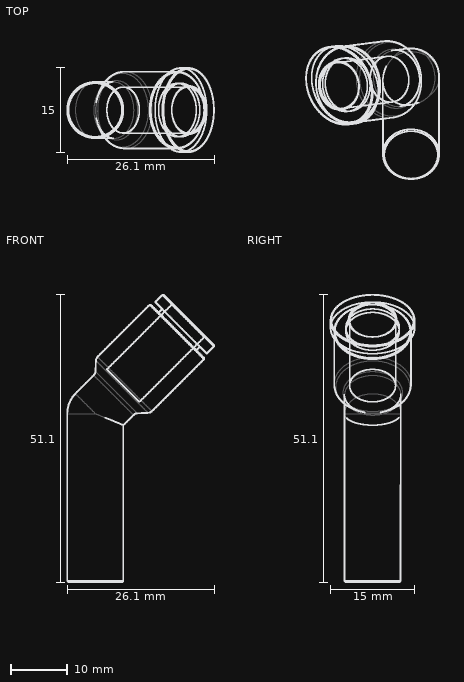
import cadquery as cq

elbow_height = 30.0
head_tilt = 45.0

stem_radius = 5.0
stem_end_chamfer = 0.25

cone_start = 5.0
cone_end = 7.0
body_end = 20.65
body_radius = 6.85
cone_blend_radius = 1.0
body_end_chamfer = 0.15

sleeve_radius = 4.75
flange_start = 21.5
button_end = 23.5
flange_half_width = 6.5
flange_half_length = 7.49
flange_chamfer = 0.15

bore_radius = 4.1
bore_chamfer = 0.2
bore_bottom = cone_end


def make_stem():
    stem = cq.Workplane("XY").circle(stem_radius).extrude(elbow_height)
    return stem.faces("<Z").chamfer(stem_end_chamfer)


def make_head_body():
    """Neck, cone and cylinder turned about the head axis."""
    body = (
        cq.Workplane("XZ")
        .lineTo(stem_radius, 0)
        .lineTo(stem_radius, cone_start)
        .lineTo(body_radius, cone_end)
        .lineTo(body_radius, body_end)
        .lineTo(0, body_end)
        .close()
        .revolve(360, (0, 0, 0), (0, 1, 0))
    )
    cone_edges = cq.selectors.BoxSelector(
        (-body_radius, -body_radius, cone_start / 2),
        (body_radius, body_radius, (cone_end + body_end) / 2),
    )
    body = body.edges("%CIRCLE").edges(cone_edges).fillet(cone_blend_radius)
    return body.faces(">Z").chamfer(body_end_chamfer)


def make_button():
    """Sleeve with an oval flange at its outer end, long across Y."""
    sleeve = (
        cq.Workplane("XY")
        .workplane(offset=body_end)
        .circle(sleeve_radius)
        .extrude(flange_start - body_end)
    )
    flange = (
        cq.Workplane("XY")
        .workplane(offset=flange_start)
        .ellipse(flange_half_width, flange_half_length)
        .extrude(button_end - flange_start)
        .faces(">Z")
        .chamfer(flange_chamfer)
    )
    return sleeve.union(flange)


def make_bore():
    """Blind socket with a flared mouth."""
    mouth_start = button_end - bore_chamfer
    return (
        cq.Workplane("XZ")
        .moveTo(0, bore_bottom)
        .lineTo(bore_radius, bore_bottom)
        .lineTo(bore_radius, mouth_start)
        .lineTo(bore_radius + bore_chamfer, button_end)
        .lineTo(0, button_end)
        .close()
        .revolve(360, (0, 0, 0), (0, 1, 0))
    )


head = make_head_body().union(make_button()).cut(make_bore())
head = head.rotate((0, 0, 0), (0, 1, 0), head_tilt).translate((0, 0, elbow_height))
elbow = cq.Workplane("XY").sphere(stem_radius).translate((0, 0, elbow_height))

result = make_stem().union(elbow).union(head)